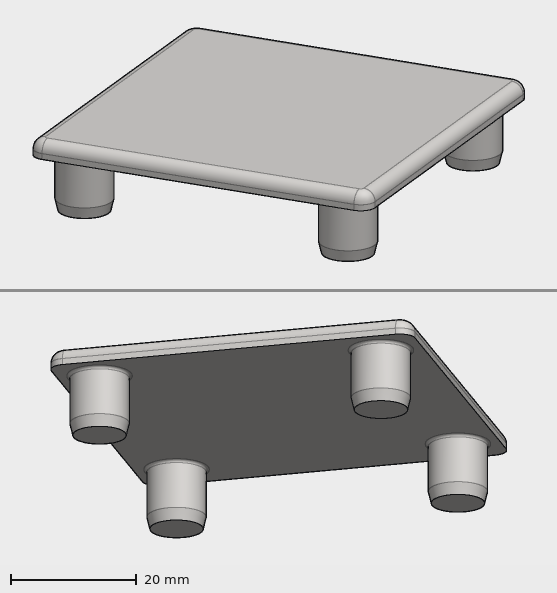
import cadquery as cq

plate_side = 60.0
plate_thickness = 3.0
corner_radius = 2.5
top_edge_radius = 2.0

total_height = 13.0
peg_diameter = 9.5
peg_edge_inset = 6.8
root_fillet_radius = 0.5
tip_taper_height = 2.0
tip_taper_inset = 0.5

peg_length = total_height - plate_thickness
peg_radius = peg_diameter / 2
peg_offset = plate_side / 2 - peg_edge_inset


def make_plate():
    """Square plate with its underside at Z = 0 and a rounded top edge."""
    plate = cq.Workplane("XY").rect(plate_side, plate_side).extrude(plate_thickness)
    return plate.edges("|Z").fillet(corner_radius).faces(">Z").edges().fillet(top_edge_radius)


def make_peg():
    """Revolved peg below Z = 0 with a flared root and a tapered tip."""
    root_radius = peg_radius + root_fillet_radius
    tip_radius = peg_radius - tip_taper_inset
    arc_inset = root_fillet_radius * (1 - 0.5**0.5)
    profile = (
        cq.Workplane("XZ")
        .lineTo(root_radius, 0)
        .threePointArc((peg_radius + arc_inset, -arc_inset), (peg_radius, -root_fillet_radius))
        .lineTo(peg_radius, tip_taper_height - peg_length)
        .lineTo(tip_radius, -peg_length)
        .lineTo(0, -peg_length)
        .close()
    )
    return profile.revolve(360, (0, 0, 0), (0, 1, 0))


result = make_plate()
peg = make_peg()
for x_side in (-1, 1):
    for y_side in (-1, 1):
        result = result.union(peg.translate((x_side * peg_offset, y_side * peg_offset, 0)))